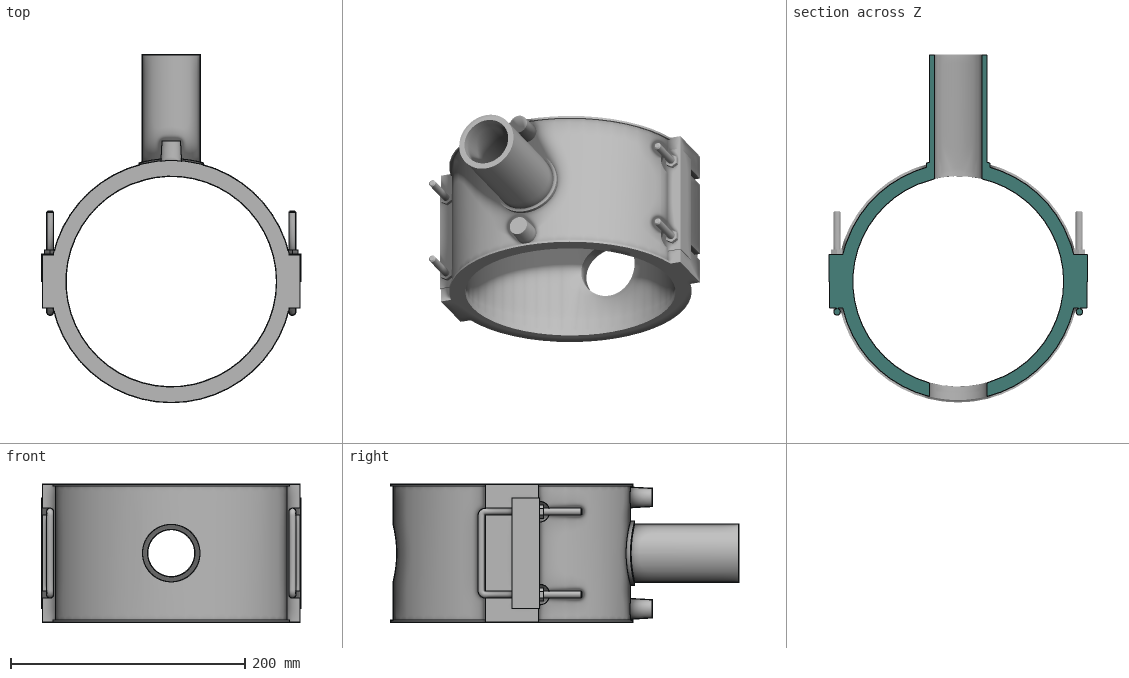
import cadquery as cq
import math

height = 118.0
bore_radius = 89.7
body_radius = 101.3

band_radius = 103.5
band_height = 1.8

lug_reach = 110.0
lug_depth = 22.5
plate_reach = 110.5
plate_depth = 23.5
plate_height = 94.2

overall_length = 297
pipe_end = overall_length - band_radius
pipe_diameter = 50.0
pipe_bore = 40.0
collar_diameter = 55.0
collar_radius = 104.8
opening_diameter = 49.0

peg_end = 120.0
peg_tip_diameter = 15.7
peg_base_diameter = 17.8
peg_offset = 47.5

bolt_diameter = 6.0
bolt_radius = bolt_diameter / 2
bolt_tip_diameter = 4.0
bolt_chamfer = (bolt_diameter - bolt_tip_diameter) / 2
bolt_x = -103.5
bolt_z = 35.3
bolt_end = 60.0
bolt_bend = 3.3
bar_y = -lug_depth - bolt_bend
nut_flats = 9.8
nut_height = 3.5
recess_radius = 10.0


def disc(radius, depth):
    """Cylinder on the Z axis, centred on the origin."""
    return cq.Workplane("XY").cylinder(depth, radius)


def rod(diameter, start_y, end_y, x=0, z=0):
    """Cylinder parallel to Y between two Y positions."""
    base = cq.Workplane("XZ", origin=(x, start_y, z))
    return base.circle(diameter / 2).extrude(start_y - end_y)


def block(x_start, x_end, y_start, y_end, z_size):
    """Box given by its X and Y limits, centred in Z."""
    solid = cq.Workplane("XY").box(x_end - x_start, y_end - y_start, z_size)
    return solid.translate(((x_start + x_end) / 2, (y_start + y_end) / 2, 0))


def ring():
    """Solid ring blank with its end bands; the bore is cut later."""
    blank = disc(body_radius, height)
    band_z = (height - band_height) / 2
    for z in (-band_z, band_z):
        blank = blank.union(disc(band_radius, band_height).translate((0, 0, z)))
    return blank


def side_lug():
    """Lug at -X with its cover plate and open bolt slots."""
    lug = block(-lug_reach, -bore_radius, -lug_depth, lug_depth, height)
    for z in (-bolt_z, bolt_z):
        slot = block(-lug_reach, bolt_x, -lug_depth, 0, bolt_diameter)
        lug = lug.cut(slot.translate((0, 0, z)))
    return lug.union(block(-plate_reach, -bore_radius, 0, plate_depth, plate_height))


def u_bolt():
    """U-bolt at -X: one round bar bent twice, with chamfered tips."""
    bend_y = bar_y + bolt_bend
    bend_z = bolt_z - bolt_bend
    mid_shift = bolt_bend * math.sqrt(0.5)
    path = (
        cq.Workplane("YZ", origin=(bolt_x, 0, 0))
        .moveTo(bolt_end, bolt_z)
        .lineTo(bend_y, bolt_z)
        .threePointArc((bend_y - mid_shift, bend_z + mid_shift), (bar_y, bend_z))
        .lineTo(bar_y, -bend_z)
        .threePointArc((bend_y - mid_shift, -bend_z - mid_shift), (bend_y, -bolt_z))
        .lineTo(bolt_end, -bolt_z)
    )
    section = cq.Workplane("XZ", origin=(bolt_x, bolt_end, bolt_z)).circle(bolt_radius)
    return section.sweep(path).faces(">Y").chamfer(bolt_chamfer)


def nut(z):
    """Hexagon nut on the cover plate, with flats facing along X."""
    base = cq.Workplane("XZ", origin=(bolt_x, plate_depth, z))
    outline = base.polygon(6, nut_flats, circumscribed=True)
    return outline.extrude(-nut_height)


def peg(z):
    """Tapered peg rooted inside the ring wall."""
    base = cq.Workplane("XZ", origin=(0, body_radius, z)).circle(peg_base_diameter / 2)
    taper = base.workplane(offset=body_radius - peg_end).circle(peg_tip_diameter / 2).loft()
    return taper.union(rod(peg_base_diameter, bore_radius, body_radius, 0, z))


def branch():
    """Branch pipe with a collar that follows the curve of the ring."""
    collar = rod(collar_diameter, bore_radius, pipe_end).intersect(disc(collar_radius, height))
    return rod(pipe_diameter, bore_radius, pipe_end).union(collar)


def on_both_sides(side):
    """A feature at -X together with its mirror image at +X."""
    return side.union(side.mirror("YZ"))


clamp = ring()
for nut_z in (-bolt_z, bolt_z):
    recess = cq.Workplane("XY").sphere(recess_radius)
    recess = recess.translate((bolt_x, plate_depth + nut_height / 2, nut_z))
    clamp = clamp.cut(on_both_sides(recess))

clamp = clamp.union(on_both_sides(side_lug()))

fastener = u_bolt()
for nut_z in (-bolt_z, bolt_z):
    fastener = fastener.union(nut(nut_z))
clamp = clamp.union(on_both_sides(fastener))

clamp = clamp.union(branch())
for peg_z in (-peg_offset, peg_offset):
    clamp = clamp.union(peg(peg_z))

clamp = clamp.cut(disc(bore_radius, height))
clamp = clamp.cut(rod(pipe_bore, 0, pipe_end))
result = clamp.cut(rod(opening_diameter, -band_radius, 0))